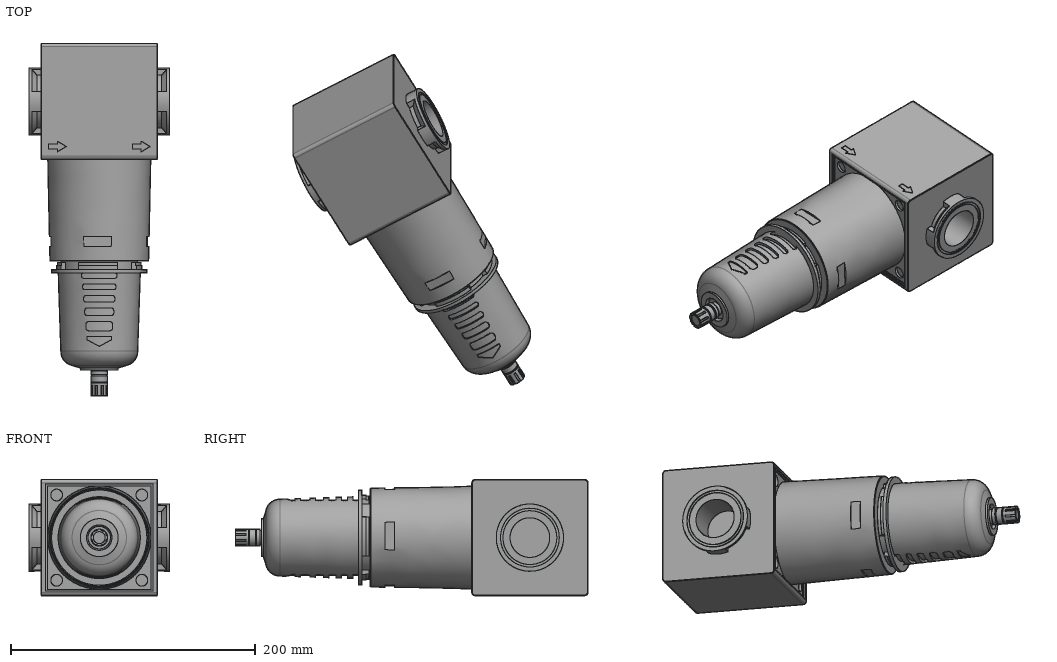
import cadquery as cq
import math


head_size = 95.0
head_half = head_size / 2
edge_round = 2.8
side_chamfer = 0.5
recess_mouth = 87.6
recess_floor = 84.6
recess_step_depth = 1.0
recess_depth = 2.0
screw_pitch = 69.6
screw_diameter = 9.6
screw_depth = 2.0

port_length = 10.0
port_radius = 27.5
port_lip = 2.4
port_core_radius = 23.0
port_slope_length = 4.2
port_spoke_half = 8.2
port_bore_radius = 16.2
port_bore_depth = 35.0
seal_inner_radius = 22.0
seal_outer_radius = 24.0
seal_depth = 1.0

arrow_length = 14.6
arrow_head_length = 7.3
arrow_head_half = 4.3
arrow_shaft_half = 2.0
arrow_tail_x = (-41.5, 27.0)
arrow_y = -36.8
arrow_depth = 0.3

guard_start_y = -head_half + recess_depth
guard_end_y = -130.5
guard_start_radius = 42.2
guard_end_radius = 40.4
guard_edge_break = 0.6
guard_window = (23.0, 8.0)
guard_window_y = -114.4
guard_window_floor = 39.1
window_turn = 2.0
quarter_turn = 90.0

neck_radius = 31.4
flange_start_y = -137.3
flange_end_y = -140.0
flange_radius = 38.9
lug_width = 32.0
lug_gap = 1.0
lug_upper_length = 2.5
lug_upper_radius = 34.2
lug_lower_radius = 34.8

bowl_start_radius = 33.6
bowl_end_radius = 31.5
bowl_end_y = -204.0
dome_radius = 12.0
dome_end_radius = 22.2
boss_radius = 15.5
boss_start_y = -217.7
boss_end_y = -219.4
boss_pocket_mouth_radius = 10.4
boss_pocket_floor_radius = 9.2
boss_pocket_depth = 2.5

slot_floor_radius = 30.8
slot_gap = 4.7
slot_lengths = (4.4, 4.6, 5.5, 6.4, 7.6)
slot_first_half = 14.4
slot_half_step = 0.85
slot_corner_ratio = 0.35
pointer_length = 8.0
pointer_shoulder = 2.5

drain_end_y = head_half - 288.0
drain_radius = 6.9
drain_neck_radius = 5.9
drain_collar_start_y = -220.3
drain_collar_end_y = -229.0
drain_knob_start_y = -229.8
drain_groove_radius = 6.3
drain_ring_groove = (-223.2, -224.2)
knob_flutes = 8
flute_width = 1.6
flute_depth = 0.7
flute_length = 8.5
knob_face_radius = 4.9
knob_face_depth = 0.5


def axial_disc(radius, start_y, end_y):
    """Cylinder on the Y axis between two stations, running toward -Y."""
    plane = cq.Workplane("XZ", origin=(0, start_y, 0))
    return plane.circle(radius).extrude(start_y - end_y)


def radial_box(width, start_y, end_y, inner, outer):
    """Box on the +Z side of the axis, from the inner to the outer distance."""
    size = (width, start_y - end_y, outer - inner)
    centre = (0, (start_y + end_y) / 2, (inner + outer) / 2)
    return cq.Workplane("XY").box(*size).translate(centre)


def turn(body, angle):
    """Rotate about the Y axis, counter-clockwise when looking toward +Y."""
    return body.rotate((0, 0, 0), (0, 1, 0), -angle)


def make_head():
    head = cq.Workplane("XY").box(head_size, head_size, head_size)
    head = head.edges("|X").fillet(edge_round)
    head = head.faces("<X or >X").chamfer(side_chamfer)

    front = cq.Workplane("XZ", origin=(0, -head_half, 0))
    recess = front.rect(recess_mouth, recess_mouth).extrude(-recess_step_depth)
    recess = recess.union(front.rect(recess_floor, recess_floor).extrude(-recess_depth))
    screws = (
        cq.Workplane("XZ", origin=(0, guard_start_y + screw_depth, 0))
        .rect(screw_pitch, screw_pitch, forConstruction=True)
        .vertices()
        .circle(screw_diameter / 2)
        .extrude(screw_depth)
    )
    return head.cut(recess).cut(screws)


def flow_arrow(tail_x):
    neck_x = tail_x + arrow_length - arrow_head_length
    outline = [
        (tail_x, arrow_y + arrow_shaft_half),
        (neck_x, arrow_y + arrow_shaft_half),
        (neck_x, arrow_y + arrow_head_half),
        (tail_x + arrow_length, arrow_y),
        (neck_x, arrow_y - arrow_head_half),
        (neck_x, arrow_y - arrow_shaft_half),
        (tail_x, arrow_y - arrow_shaft_half),
    ]
    plane = cq.Workplane("XY", origin=(0, 0, head_half - arrow_depth))
    return plane.polyline(outline).close().extrude(arrow_depth)


def make_port():
    """Port collar on the +X side, with a notch in each quadrant."""
    outer_x = head_half + port_length
    lip_x = outer_x - port_lip
    slope_end_x = lip_x - port_slope_length
    root_x = head_half - side_chamfer
    barrel = cq.Workplane("YZ", origin=(root_x, 0, 0)).circle(port_radius).extrude(outer_x - root_x)
    notch_ring = (
        cq.Workplane("XY")
        .moveTo(head_half, port_core_radius)
        .lineTo(slope_end_x, port_core_radius)
        .lineTo(lip_x, port_radius)
        .lineTo(head_half, port_radius)
        .close()
        .revolve(360, (0, 0, 0), (1, 0, 0))
    )
    spoke = (
        cq.Workplane("YZ", origin=(head_half, 0, 0))
        .rect(2 * port_spoke_half, 2 * port_radius)
        .extrude(port_length)
    )
    spokes = spoke.union(spoke.rotate((0, 0, 0), (1, 0, 0), quarter_turn))
    return barrel.cut(notch_ring.cut(spokes))


def make_port_cuts():
    """Blind bore and face seal groove of the +X port."""
    face = cq.Workplane("YZ", origin=(head_half + port_length, 0, 0))
    bore = face.circle(port_bore_radius).extrude(-port_bore_depth)
    groove = face.circle(seal_outer_radius).circle(seal_inner_radius).extrude(-seal_depth)
    return bore.union(groove)


def make_guard():
    guard = (
        cq.Workplane("XY")
        .moveTo(0, guard_start_y)
        .lineTo(guard_start_radius, guard_start_y)
        .lineTo(guard_end_radius, guard_end_y + guard_edge_break)
        .lineTo(guard_end_radius - guard_edge_break, guard_end_y)
        .lineTo(0, guard_end_y)
        .close()
        .revolve(360, (0, 0, 0), (0, 1, 0))
    )
    width, length = guard_window
    window = radial_box(
        width,
        guard_window_y + length / 2,
        guard_window_y - length / 2,
        guard_window_floor,
        guard_start_radius,
    )
    for index in range(4):
        guard = guard.cut(turn(window, index * quarter_turn + window_turn))
    return guard


def make_collar():
    """Neck with four bayonet lugs, closed by a flange."""
    collar = axial_disc(neck_radius, guard_end_y, flange_start_y)
    lug_start_y = guard_end_y - lug_gap
    lug_step_y = lug_start_y - lug_upper_length
    steps = axial_disc(lug_upper_radius, lug_start_y, lug_step_y)
    steps = steps.union(axial_disc(lug_lower_radius, lug_step_y, flange_start_y))
    sector = radial_box(lug_width, lug_start_y, flange_start_y, 0, flange_radius)
    lug = steps.intersect(sector)
    for index in range(4):
        collar = collar.union(turn(lug, index * quarter_turn + window_turn))
    return collar.union(axial_disc(flange_radius, flange_start_y, flange_end_y))


def make_bowl():
    arc_centre_radius = bowl_end_radius - dome_radius
    end_angle = math.acos((dome_end_radius - arc_centre_radius) / dome_radius)

    def dome_point(angle):
        radius = arc_centre_radius + dome_radius * math.cos(angle)
        return (radius, bowl_end_y - dome_radius * math.sin(angle))

    bowl = (
        cq.Workplane("XY")
        .moveTo(0, flange_end_y)
        .lineTo(bowl_start_radius, flange_end_y)
        .lineTo(bowl_end_radius, bowl_end_y)
        .threePointArc(dome_point(end_angle / 2), dome_point(end_angle))
        .lineTo(boss_radius, boss_start_y)
        .lineTo(boss_radius, boss_end_y)
        .lineTo(0, boss_end_y)
        .close()
        .revolve(360, (0, 0, 0), (0, 1, 0))
    )
    pocket = (
        cq.Workplane("XZ", origin=(0, boss_end_y, 0))
        .circle(boss_pocket_mouth_radius)
        .workplane(offset=-boss_pocket_depth)
        .circle(boss_pocket_floor_radius)
        .loft()
    )
    return bowl.cut(pocket)


def make_sight_slots():
    """Row of narrowing slots ending in a pointer, for the +Z side of the bowl."""
    slots = cq.Workplane("XY")
    start_y = flange_end_y
    half_width = slot_first_half
    for length in slot_lengths:
        slot = radial_box(2 * half_width, start_y, start_y - length, 0, bowl_start_radius)
        slots = slots.add(slot.edges("|Z").fillet(slot_corner_ratio * length))
        start_y -= length + slot_gap
        half_width -= slot_half_step
    pointer = (
        cq.Workplane("XY")
        .moveTo(-half_width, start_y)
        .lineTo(half_width, start_y)
        .lineTo(half_width, start_y - pointer_shoulder)
        .lineTo(0, start_y - pointer_length)
        .lineTo(-half_width, start_y - pointer_shoulder)
        .close()
        .extrude(bowl_start_radius)
    )
    floor_core = axial_disc(slot_floor_radius, flange_end_y, bowl_end_y)
    return slots.add(pointer).combine().cut(floor_core)


def make_drain():
    """Drain valve: grooved collar and fluted knob on a stem."""
    drain = axial_disc(drain_neck_radius, boss_end_y + boss_pocket_depth, drain_collar_start_y)
    drain = drain.union(axial_disc(drain_radius, drain_collar_start_y, drain_collar_end_y))
    drain = drain.union(axial_disc(drain_groove_radius, drain_collar_end_y, drain_knob_start_y))
    drain = drain.union(axial_disc(drain_radius, drain_knob_start_y, drain_end_y))

    ring_start_y, ring_end_y = drain_ring_groove
    ring = axial_disc(drain_radius, ring_start_y, ring_end_y)
    drain = drain.cut(ring.cut(axial_disc(drain_groove_radius, ring_start_y, ring_end_y)))

    flute = radial_box(
        flute_width,
        drain_end_y + flute_length,
        drain_end_y,
        drain_radius - flute_depth,
        drain_radius + flute_depth,
    )
    flute_pitch = 360 / knob_flutes
    for index in range(knob_flutes):
        drain = drain.cut(turn(flute, (index + 0.5) * flute_pitch))
    return drain.cut(axial_disc(knob_face_radius, drain_end_y + knob_face_depth, drain_end_y))


port = make_port()
port_cuts = make_port_cuts()
sight_slots = make_sight_slots()

head = make_head()
for tail_x in arrow_tail_x:
    head = head.cut(flow_arrow(tail_x))
head = head.union(port).union(port.mirror("YZ"))
head = head.cut(port_cuts).cut(port_cuts.mirror("YZ"))

bowl = make_bowl()
bowl = bowl.cut(sight_slots).cut(sight_slots.mirror("XY"))

result = head.union(make_guard()).union(make_collar()).union(bowl).union(make_drain())